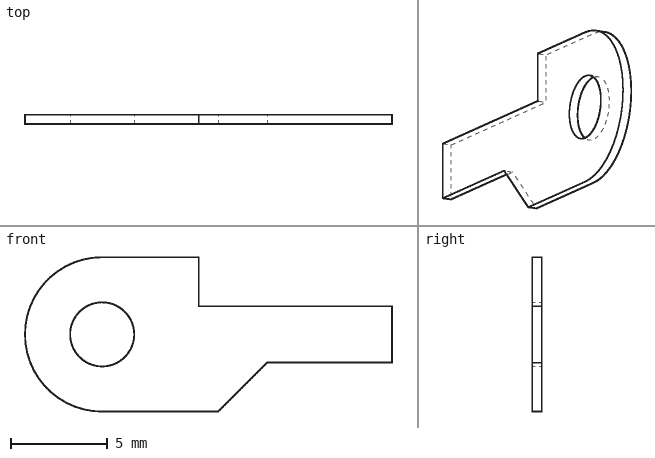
import cadquery as cq

length = 19.0
height = 8.0
thickness = 0.5
hole_diameter = 3.3
shoulder_from_left = 9.0
lower_edge_end = 10.0
tongue_width = 2.93

end_radius = height / 2
tongue_half = tongue_width / 2
left = -end_radius
tongue_tip = left + length
upper_shoulder = left + shoulder_from_left
lower_shoulder_start = left + lower_edge_end
lower_shoulder_end = lower_shoulder_start + end_radius - tongue_half

plate = (
    cq.Workplane("XZ")
    .moveTo(0, end_radius)
    .lineTo(upper_shoulder, end_radius)
    .lineTo(upper_shoulder, tongue_half)
    .lineTo(tongue_tip, tongue_half)
    .lineTo(tongue_tip, -tongue_half)
    .lineTo(lower_shoulder_end, -tongue_half)
    .lineTo(lower_shoulder_start, -end_radius)
    .lineTo(0, -end_radius)
    .threePointArc((left, 0), (0, end_radius))
    .close()
    .extrude(thickness / 2, both=True)
)

hole = cq.Workplane("XZ").circle(hole_diameter / 2).extrude(thickness, both=True)

result = plate.cut(hole)